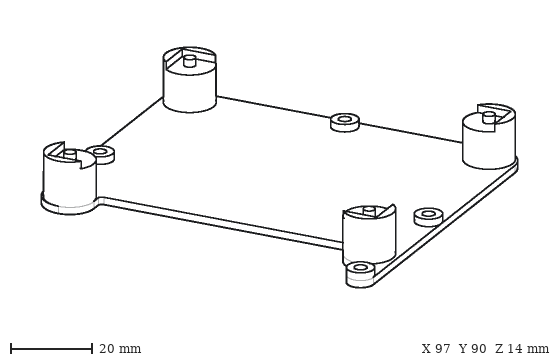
import cadquery as cq
import math

plate_width = 97.0
plate_depth = 70.0
plate_thickness = 2.0
outer_corner_radius = 7.5
inner_corner_radius = 1.0

post_diameter = 13.0
post_pitch_x = 82.0
post_pitch_y = 67.0
post_height = 14.0
pin_height = 2.0
seat_depth = 2.0
lip_offset = 4.0
pin_diameter = 3.0

boss_diameter = 7.0
boss_height = 4.0
screw_hole_diameter = 3.2
side_boss_to_back_edge = 48.5
ear_length = 20.0

post_radius = post_diameter / 2
boss_radius = boss_diameter / 2
post_x = post_pitch_x / 2
post_y = post_pitch_y / 2
side_edge = plate_width / 2
back_edge = post_y + post_radius
front_edge = back_edge - plate_depth
tab_front = -post_y - post_radius
tab_inner_x = post_x - post_radius
front_arc_y = tab_front + outer_corner_radius
back_arc_y = back_edge - outer_corner_radius
boss_x = side_edge - boss_radius
ear_inner_x = side_edge - boss_diameter
ear_y = back_edge - plate_depth - ear_length + boss_radius
ear_corner = (ear_inner_x, -post_y - math.sqrt(post_radius**2 - (ear_inner_x - post_x) ** 2))
inner_corners = [(-tab_inner_x, front_edge), (tab_inner_x, front_edge), ear_corner]
seat_height = post_height - seat_depth

post_sides = [(sx, sy) for sx in (-1, 1) for sy in (-1, 1)]
boss_centers = [
    (0, back_edge - boss_radius),
    (-boss_x, back_edge - side_boss_to_back_edge),
    (boss_x, back_edge - side_boss_to_back_edge),
    (boss_x, ear_y),
]


def cylinders(centers, diameter, height):
    """Equal upright cylinders standing on the underside plane."""
    return cq.Workplane("XY").pushPoints(centers).circle(diameter / 2).extrude(height)


def arc_middle(center, radius, side_x, side_y):
    """Point halfway along a quarter circle, in the quadrant given by the two signs."""
    reach = radius * math.sqrt(0.5)
    return (center[0] + side_x * reach, center[1] + side_y * reach)


def make_plate():
    """Plate with rounded corners, two front tabs under the posts and one screw ear."""
    left_back = arc_middle((-post_x, back_arc_y), outer_corner_radius, -1, 1)
    right_back = arc_middle((post_x, back_arc_y), outer_corner_radius, 1, 1)
    right_tab = arc_middle((post_x, -post_y), post_radius, -1, -1)
    left_tab_inner = arc_middle((-post_x, -post_y), post_radius, 1, -1)
    left_tab_outer = arc_middle((-post_x, front_arc_y), outer_corner_radius, -1, -1)
    plate = (
        cq.Workplane("XY")
        .moveTo(-side_edge, front_arc_y)
        .lineTo(-side_edge, back_arc_y)
        .threePointArc(left_back, (-post_x, back_edge))
        .lineTo(post_x, back_edge)
        .threePointArc(right_back, (side_edge, back_arc_y))
        .lineTo(side_edge, ear_y)
        .threePointArc((boss_x, ear_y - boss_radius), (ear_inner_x, ear_y))
        .lineTo(*ear_corner)
        .threePointArc(right_tab, (tab_inner_x, -post_y))
        .lineTo(tab_inner_x, front_edge)
        .lineTo(-tab_inner_x, front_edge)
        .lineTo(-tab_inner_x, -post_y)
        .threePointArc(left_tab_inner, (-post_x, tab_front))
        .threePointArc(left_tab_outer, (-side_edge, front_arc_y))
        .close()
        .extrude(plate_thickness)
    )
    for corner_x, corner_y in inner_corners:
        nearest = cq.selectors.NearestToPointSelector((corner_x, corner_y, plate_thickness / 2))
        plate = plate.edges("|Z").edges(nearest).fillet(inner_corner_radius)
    return plate


def make_post(side_x, side_y):
    """Post whose sunken seat leaves an L-shaped lip on the two outward sides, with a pin."""
    center = (side_x * post_x, side_y * post_y)
    post = cylinders([center], post_diameter, post_height)
    seat_shift = lip_offset - post_radius
    seat = cq.Workplane("XY").box(post_diameter, post_diameter, seat_depth, centered=(True, True, False))
    seat = seat.translate((center[0] + side_x * seat_shift, center[1] + side_y * seat_shift, seat_height))
    pin = cylinders([center], pin_diameter, seat_height + pin_height)
    return post.cut(seat).union(pin)


def make_part():
    part = make_plate()
    for side_x, side_y in post_sides:
        part = part.union(make_post(side_x, side_y))
    part = part.union(cylinders(boss_centers, boss_diameter, boss_height))
    return part.cut(cylinders(boss_centers, screw_hole_diameter, boss_height))


result = make_part()